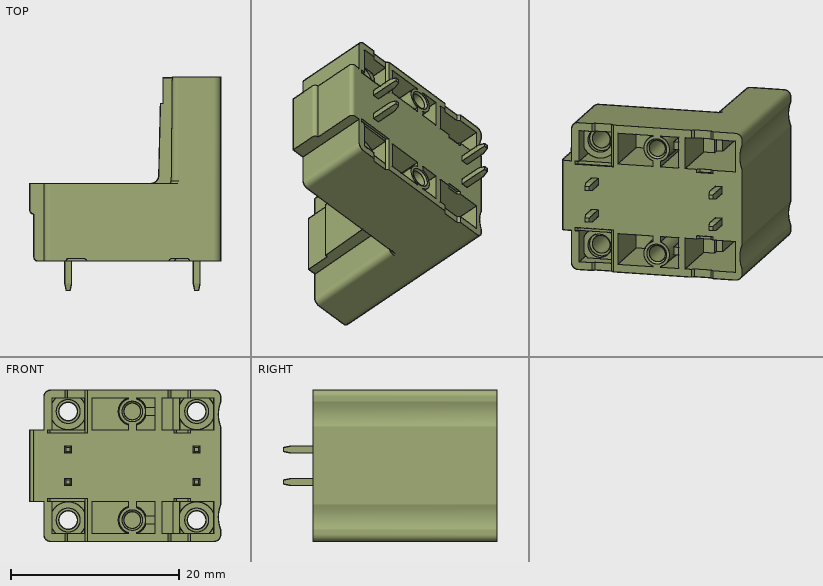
import cadquery as cq

total_length_y = 25.4
pin_length = 3.5
body_length_y = total_length_y - pin_length
body_width = 21.03
body_height = 18.0
half_height = body_height / 2
base_depth = 9.25
wall = 0.97
corner_radius = 0.81

arm_left_top = 15.27
arm_left_bottom = 15.15
arm_foot_height = 0.3
arm_foot_flare = 0.1

tongue_half_height = 4.27
base_tongue_reach = 1.68
base_tongue_shoulder_y = 5.6
base_tongue_radius = 0.48
arm_tongue_top_gap = 0.08
arm_tongue_tip_x = 14.15
arm_tongue_step_x = 13.85
arm_tongue_step_y = 18.75
arm_tongue_root_x = 13.65
arm_tongue_root_radius = 0.91

dent_radius = 4.06
dent_depth = 0.28
dent_z = 6.1

hole_z = 6.45
hole_x_left = 2.9
hole_x_right = 18.15
hole_radius = 1.1
hole_mouth_radius = 1.42
hole_mouth_depth = 0.75
sleeve_radius = 2.15
sleeve_length = 7.16

pocket_z_low = tongue_half_height
pocket_z_high = half_height - wall
pocket_depth = base_depth - wall
left_pocket_x = (wall, 4.85)
middle_pocket_x = (5.72, 13.2)
right_pocket_x = (14.02, 20.2)
right_pocket_ledge_x = 15.37
arm_core_left_x = 16.1
arm_core_draft = 0.05
arm_core_depth = body_length_y - wall

post_x = body_width / 2
post_tip_radius = 1.57
post_root_radius = 1.68
socket_mouth_radius = 1.22
socket_radius = 1.0
socket_lead_in = 0.25
web_thickness = 0.95
side_web_recess = 2.03

groove_depth = 0.3
groove_z_low = 3.89
left_groove_x = (2.55, 5.18)
left_groove_foot_x = (0.43, 5.18)
right_groove_x = (14.78, 17.42)
right_groove_foot_x = (15.45, 17.42)

pin_z = 1.93
pin_width = 0.85
pin_tip_width = 0.48
pin_taper_length = 0.85


def prism(outline, z_low, z_high):
    """Extrude a closed X-Y outline between two heights."""
    return outline.extrude(z_high - z_low).translate((0, 0, z_low))


def box(x_range, y_range, z_range):
    """Axis-aligned block from its limits."""
    size = [high - low for low, high in (x_range, y_range, z_range)]
    corner = (x_range[0], y_range[0], z_range[0])
    return cq.Workplane("XY").box(*size, centered=False).translate(corner)


def cone_y(x, z, y_start, radius_start, y_end, radius_end):
    """Round bar along +Y, straight or tapered."""
    profile = [(0, y_start), (radius_start, y_start), (radius_end, y_end), (0, y_end)]
    bar = cq.Workplane("XY").polyline(profile).close().revolve(360, (0, 0), (0, 1))
    return bar.translate((x, 0, z))


def make_arm_block(left_low, left_high, y_low, y_high):
    """Length of the arm with a sloping -X side and all four long edges rounded."""
    outline = cq.Workplane("XY").polyline([
        (left_low, y_low),
        (body_width, y_low),
        (body_width, y_high),
        (left_high, y_high),
    ]).close()
    block = prism(outline, -half_height, half_height)
    for side in ("<Z", ">Z"):
        block = block.faces(side).edges("<X or >X").fillet(corner_radius)
    return block


def make_body():
    """L-shaped block with rounded long edges and a slightly flared arm foot."""
    foot_top = base_depth + arm_foot_height
    base = box((0, body_width), (0, base_depth), (-half_height, half_height))
    base = base.edges("|Y").fillet(corner_radius)
    foot = make_arm_block(arm_left_bottom - arm_foot_flare, arm_left_bottom, base_depth, foot_top)
    arm = make_arm_block(arm_left_bottom, arm_left_top, foot_top, body_length_y)
    return base.union(foot).union(arm)


def make_base_tongue():
    """Stepped tongue on the -X side of the base."""
    radius = base_tongue_radius
    shoulder_x = radius - base_tongue_reach
    outline = (
        cq.Workplane("XY")
        .moveTo(wall, base_depth)
        .lineTo(-base_tongue_reach, base_depth)
        .lineTo(-base_tongue_reach, base_tongue_shoulder_y + radius)
        .radiusArc((shoulder_x, base_tongue_shoulder_y), -radius)
        .lineTo(shoulder_x, radius)
        .radiusArc((shoulder_x + radius, 0), -radius)
        .lineTo(wall, 0)
        .close()
    )
    return prism(outline, -tongue_half_height, tongue_half_height)


def make_arm_tongue():
    """Stepped tongue on the -X side of the arm, blended into the base."""
    radius = arm_tongue_root_radius
    top_y = body_length_y - arm_tongue_top_gap
    inside_x = arm_left_top + corner_radius
    outline = (
        cq.Workplane("XY")
        .moveTo(inside_x, top_y)
        .lineTo(arm_tongue_tip_x, top_y)
        .lineTo(arm_tongue_tip_x, arm_tongue_step_y)
        .lineTo(arm_tongue_step_x, arm_tongue_step_y)
        .lineTo(arm_tongue_root_x, base_depth + radius)
        .radiusArc((arm_tongue_root_x - radius, base_depth), radius)
        .lineTo(inside_x, base_depth)
        .close()
    )
    return prism(outline, -tongue_half_height, tongue_half_height)


def make_left_pocket():
    """Pocket on the -X side of the post, leaving a sleeve around the screw hole."""
    pocket = box(left_pocket_x, (0, pocket_depth), (pocket_z_low, pocket_z_high))
    face_y = base_depth - sleeve_length
    return pocket.cut(cone_y(hole_x_left, hole_z, face_y, sleeve_radius, base_depth, sleeve_radius))


def make_right_pocket():
    """Pocket that steps into a deep drafted core inside the arm, around its screw sleeve."""
    left, right = right_pocket_x
    outline = cq.Workplane("XY").polyline([
        (left, 0),
        (left, pocket_depth),
        (right_pocket_ledge_x, pocket_depth),
        (right_pocket_ledge_x, base_depth),
        (arm_core_left_x, base_depth),
        (arm_core_left_x + arm_core_draft, arm_core_depth),
        (right - arm_core_draft, arm_core_depth),
        (right, 0),
    ]).close()
    pocket = prism(outline, pocket_z_low, pocket_z_high)
    face_y = body_length_y - sleeve_length
    return pocket.cut(cone_y(hole_x_right, hole_z, face_y, sleeve_radius, body_length_y, sleeve_radius))


def make_middle_pocket():
    """Pocket around the socket post, with the post's three webs left standing."""
    half_web = web_thickness / 2
    pocket = box(middle_pocket_x, (0, pocket_depth), (pocket_z_low, pocket_z_high))
    post = cone_y(post_x, hole_z, 0, post_tip_radius, pocket_depth, post_root_radius)
    cross_web = box(
        (post_x - half_web, post_x + half_web), (0, pocket_depth), (pocket_z_low, pocket_z_high)
    )
    side_web = box(
        (post_x, middle_pocket_x[1]),
        (side_web_recess, pocket_depth),
        (hole_z - half_web, hole_z + half_web),
    )
    socket = cone_y(post_x, hole_z, 0, socket_radius, pocket_depth, socket_radius)
    lead_in = cone_y(post_x, hole_z, 0, socket_mouth_radius, socket_lead_in, socket_radius)
    return pocket.cut(post).cut(cross_web).cut(side_web).union(socket).union(lead_in)


def make_screw_hole(x, face_y, back_y):
    """Through hole with a wider flat-bottomed mouth on the sleeve face."""
    mouth_y = face_y + hole_mouth_depth
    hole = cone_y(x, hole_z, face_y, hole_radius, back_y, hole_radius)
    return hole.union(cone_y(x, hole_z, face_y, hole_mouth_radius, mouth_y, hole_mouth_radius))


def make_groove(x_range, z_low, z_high):
    """Shallow groove with 45-degree side slopes."""
    left, right = x_range
    outline = cq.Workplane("XY").polyline([
        (left, 0),
        (left + groove_depth, groove_depth),
        (right - groove_depth, groove_depth),
        (right, 0),
    ]).close()
    return prism(outline, z_low, z_high)


def make_pin(x, z):
    """Square pin with a tapered tip, standing on the mounting face."""
    shank_end = pin_length - pin_taper_length
    plane = cq.Workplane("XZ")
    shank = plane.rect(pin_width, pin_width).extrude(shank_end)
    tip = (
        plane.workplane(offset=shank_end)
        .rect(pin_width, pin_width)
        .workplane(offset=pin_taper_length)
        .rect(pin_tip_width, pin_tip_width)
        .loft()
    )
    return shank.union(tip).translate((x, 0, z))


def make_dent():
    """Round bar that presses a shallow dent along the +X side."""
    center_x = body_width - dent_depth + dent_radius
    return cone_y(center_x, dent_z, 0, dent_radius, body_length_y, dent_radius)


def make_upper_cuts():
    """All material removed from the +Z half."""
    return [
        make_left_pocket(),
        make_middle_pocket(),
        make_right_pocket(),
        make_screw_hole(hole_x_left, base_depth - sleeve_length, base_depth),
        make_screw_hole(hole_x_right, body_length_y - sleeve_length, body_length_y),
        make_groove(left_groove_x, pocket_z_low, half_height),
        make_groove(left_groove_foot_x, groove_z_low, pocket_z_low),
        make_groove(right_groove_x, pocket_z_low, half_height),
        make_groove(right_groove_foot_x, groove_z_low, pocket_z_low),
        make_dent(),
    ]


result = make_body().union(make_base_tongue()).union(make_arm_tongue())

for cut in make_upper_cuts():
    result = result.cut(cut).cut(cut.mirror("XY"))

for x in (hole_x_left, hole_x_right):
    for z in (-pin_z, pin_z):
        result = result.union(make_pin(x, z))